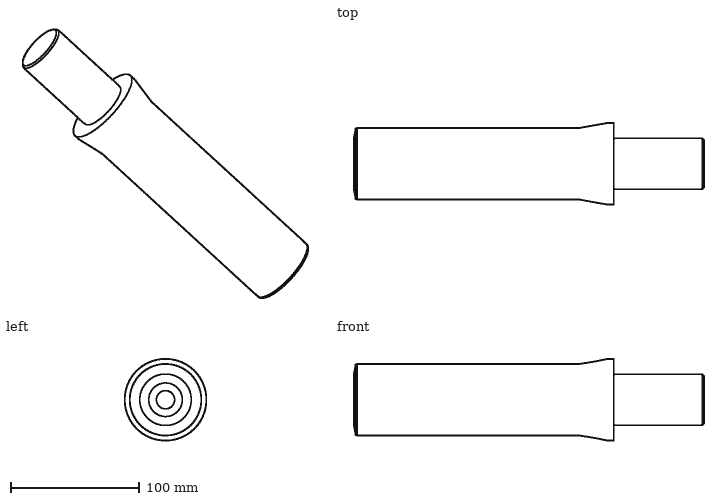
import cadquery as cq

total_length = 273.0
tip_length = 2.7
flare_start = 175.5
flare_end = 198.0
flange_end = 202.5

tip_radius = 27.8
tip_edge_x = 1.5
tip_bevel_x = 1.0
tip_bevel_radius = 25.7
ridge_radius = 40.0 / 2
valley_radius = 13.0
inner_ridge_radius = 7.0
valley_x = 1.5

body_radius = 56.0 / 2
flange_radius = 64.0 / 2
shank_radius = 40.0 / 2
shank_relief_radius = 39.5 / 2
shank_taper_length = 2.0
shank_chamfer = 1.5


def revolve_about_x(points):
    """Revolve a closed polygon of (x, radius) points about the X axis."""
    return cq.Workplane("XY").polyline(points).close().revolve(360, (0, 0, 0), (1, 0, 0))


def make_tip():
    """Thin disc whose end face has two conical ridges and a bevelled rim."""
    return revolve_about_x([
        (valley_x, 0),
        (0, inner_ridge_radius),
        (valley_x, valley_radius),
        (0, ridge_radius),
        (tip_bevel_x, tip_bevel_radius),
        (tip_edge_x, tip_radius),
        (tip_length, tip_radius),
        (tip_length, 0),
    ])


def make_holder():
    """Round body with a flared flange and a shank tapered slightly at both ends."""
    chamfer_start = total_length - shank_chamfer
    return revolve_about_x([
        (tip_length, 0),
        (tip_length, body_radius),
        (flare_start, body_radius),
        (flare_end, flange_radius),
        (flange_end, flange_radius),
        (flange_end, shank_relief_radius),
        (flange_end + shank_taper_length, shank_radius),
        (chamfer_start - shank_taper_length, shank_radius),
        (chamfer_start, shank_relief_radius),
        (total_length, shank_relief_radius - shank_chamfer),
        (total_length, 0),
    ])


tip = make_tip()
holder = make_holder()

result = cq.Compound.makeCompound([tip.val(), holder.val()])